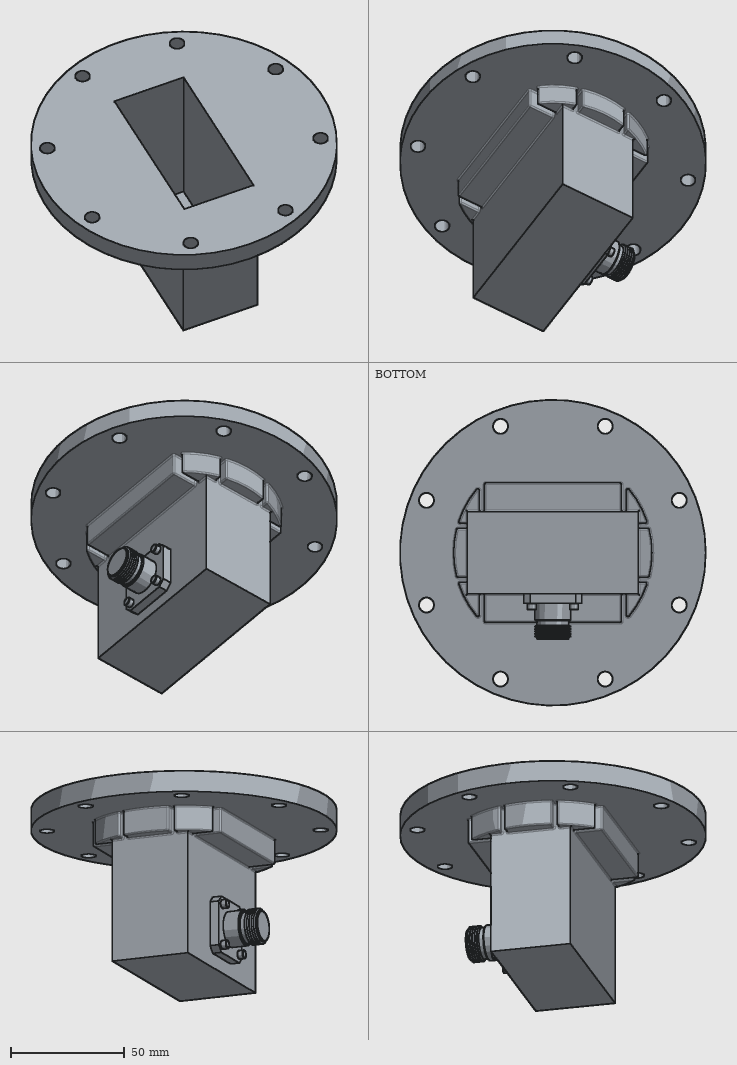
import cadquery as cq

total_height = 76.2

flange_diameter = 135.0
flange_thickness = 9.5
bolt_circle_diameter = 120.6
bolt_hole_diameter = 6.5
bolt_count = 8

guide_length = 75.3
guide_width = 36.3
bore_length = 72.0
bore_width = 33.7
short_plate_thickness = 2.5

collar_diameter = 87.5
collar_width = 61.5
collar_height = 11.3
collar_fillet = 0.7
edge_margin = 0.1
slot_width = 2.3
end_slot_offset = 11.9
side_slot_offset = 31.3

connector_height = 19.3
mount_size = 25.6
mount_thickness = 4.2
mount_corner_chamfer = 2.8
screw_spacing = 18.6
screw_head_diameter = 3.9
screw_head_height = 2.8
screw_head_chamfer = 0.3
barrel_diameter = 15.9
barrel_length = 7.7
barrel_chamfer = 0.5
neck_diameter = 14.0
neck_length = 2.0
thread_pitch = 1.1
thread_count = 5
tip_length = 0.8
tip_chamfer = 0.4

flange_bottom = total_height - flange_thickness
collar_bottom = flange_bottom - collar_height
guide_wall_y = guide_width / 2


def make_flange():
    """Round flange with its ring of bolt holes."""
    return (
        cq.Workplane("XY", origin=(0, 0, flange_bottom))
        .circle(flange_diameter / 2)
        .extrude(flange_thickness)
        .polarArray(bolt_circle_diameter / 2, 180 / bolt_count, 360, bolt_count)
        .circle(bolt_hole_diameter / 2)
        .cutThruAll()
    )


def make_guide():
    """Rectangular waveguide tube, left solid until the bore is cut."""
    return cq.Workplane("XY").box(guide_length, guide_width, flange_bottom, centered=(True, True, False))


def make_collar():
    """Round collar with two flat sides, split by slots into separate pads."""
    middle = (0, 0, collar_bottom + collar_height / 2)
    collar = cq.Workplane("XY", origin=middle).cylinder(collar_height, collar_diameter / 2)
    flats = cq.Workplane("XY", origin=middle).box(collar_diameter, collar_width, collar_height)
    collar = collar.intersect(flats)
    end_slot = cq.Workplane("XY", origin=middle).box(collar_diameter, slot_width, collar_height)
    side_slot = cq.Workplane("XY", origin=middle).box(slot_width, collar_diameter, collar_height)
    for side in (-1, 1):
        collar = collar.cut(end_slot.translate((0, side * end_slot_offset, 0)))
        collar = collar.cut(side_slot.translate((side * side_slot_offset, 0, 0)))
    return collar


def make_connector():
    """Coaxial connector on the +Y wall: square mount, four screws, threaded barrel."""
    wall = cq.Workplane("XZ", origin=(0, guide_wall_y, connector_height))
    mount = (
        wall.rect(mount_size, mount_size)
        .extrude(-mount_thickness)
        .edges("|Y")
        .chamfer(mount_corner_chamfer)
    )
    screws = (
        wall.workplane(offset=-mount_thickness)
        .rect(screw_spacing, screw_spacing, forConstruction=True)
        .vertices()
        .circle(screw_head_diameter / 2)
        .extrude(-screw_head_height)
        .edges("%CIRCLE")
        .chamfer(screw_head_chamfer)
    )
    return mount.union(screws).union(make_barrel())


def make_barrel():
    """Turned barrel: shoulder, neck, ring-shaped thread crests and plain tip."""
    barrel_radius = barrel_diameter / 2
    neck_radius = neck_diameter / 2
    shoulder_y = guide_wall_y + mount_thickness + barrel_length
    thread_y = shoulder_y + neck_length
    tip_y = thread_y + thread_count * thread_pitch + tip_length

    profile = [
        (0, guide_wall_y),
        (barrel_radius, guide_wall_y),
        (barrel_radius, shoulder_y - barrel_chamfer),
        (barrel_radius - barrel_chamfer, shoulder_y),
        (neck_radius, shoulder_y),
        (neck_radius, thread_y),
    ]
    for turn in range(thread_count):
        root_y = thread_y + turn * thread_pitch
        profile.append((barrel_radius, root_y + thread_pitch / 2))
        profile.append((neck_radius, root_y + thread_pitch))
    profile += [
        (neck_radius, tip_y - tip_chamfer),
        (neck_radius - tip_chamfer, tip_y),
        (0, tip_y),
    ]
    barrel = cq.Workplane("XY").polyline(profile).close().revolve(360, (0, 0, 0), (0, 1, 0))
    return barrel.translate((0, 0, connector_height))


def round_collar_edges(part):
    """Round every outer edge of the pads and every root where they meet the guide and flange."""
    reach = collar_diameter / 2 + edge_margin
    collar_zone = cq.selectors.BoxSelector(
        (-reach, -reach, collar_bottom - edge_margin),
        (reach, reach, flange_bottom + edge_margin),
        boundingbox=True,
    )
    return part.edges(collar_zone).fillet(collar_fillet)


def cut_bore(part):
    """Open the guide from the flange face down to the shorting plate."""
    bore_depth = total_height - short_plate_thickness
    bore = cq.Workplane("XY", origin=(0, 0, short_plate_thickness)).rect(bore_length, bore_width)
    return part.cut(bore.extrude(bore_depth))


body = make_guide().union(make_collar()).union(make_flange())
body = cut_bore(round_collar_edges(body))
result = body.union(make_connector())